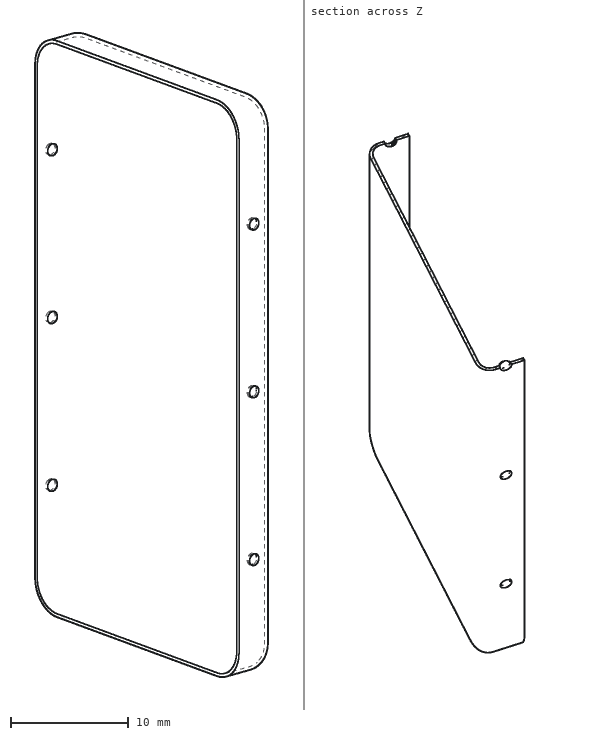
import cadquery as cq

width = 26.3
depth = 4.0
height = 51.7

wall = 0.3
corner_radius = 2.85
back_radius = 1.3

dimple_radius = 0.5
bump_radius = 0.6
dimple_spacing = 15.05
dimple_from_rim = 1.7


def rounded_block(block_width, block_height, block_depth, vertical_radius, edge_radius):
    """Block with its open face at y = 0, rounded corners and a rounded back edge."""
    block = cq.Workplane("XY").box(block_width, block_depth, block_height, centered=(True, False, True))
    return block.edges("|Y").fillet(vertical_radius).faces(">Y").edges().fillet(edge_radius)


outer = rounded_block(width, height, depth, corner_radius, back_radius)
cavity = rounded_block(
    width - 2 * wall,
    height - 2 * wall,
    depth - wall,
    corner_radius - wall,
    back_radius - wall,
)


def half_ball(radius, side, z):
    """Ball centred on the outer face of a long wall, keeping only the half inside the tray."""
    centre_x = side * width / 2
    return (
        cq.Workplane("XY", origin=(centre_x, dimple_from_rim, z))
        .moveTo(0, -radius)
        .threePointArc((-side * radius, 0), (0, radius))
        .close()
        .revolve(360, (0, 0), (0, 1))
        .intersect(outer)
    )


result = outer.cut(cavity)
for side in (-1, 1):
    for step in (-1, 0, 1):
        dimple_z = step * dimple_spacing
        result = result.union(half_ball(bump_radius, side, dimple_z))
        result = result.cut(half_ball(dimple_radius, side, dimple_z))